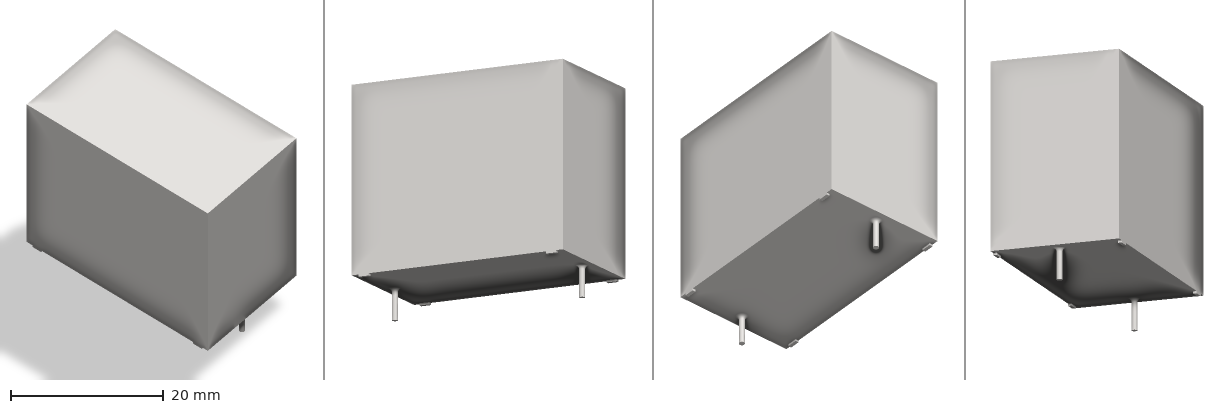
import cadquery as cq
import math


case_length = 31.0
case_width = 18.0
seated_height = 26.0
foot_height = 0.3

lead_pitch = 27.5
lead_diameter = 0.8
lead_length = 4.0
collar_radius = 0.5

foot_length = 1.5
foot_width = 0.5

case_bottom = foot_height
lead_radius = lead_diameter / 2
lead_offset = lead_pitch / 2
foot_y = (case_width - foot_width) / 2


def block(length, width, bottom, top):
    """Block centred on the Z axis, spanning two heights."""
    return (
        cq.Workplane("XY")
        .workplane(offset=bottom)
        .rect(length, width)
        .extrude(top - bottom)
    )


def lead():
    """Round lead that flares into the case through a concave collar."""
    arc_reach = collar_radius * math.cos(math.radians(45))
    arc_center_r = lead_radius + collar_radius
    arc_center_z = case_bottom - collar_radius
    return (
        cq.Workplane("XZ")
        .moveTo(0, -lead_length)
        .lineTo(lead_radius, -lead_length)
        .lineTo(lead_radius, arc_center_z)
        .threePointArc(
            (arc_center_r - arc_reach, arc_center_z + arc_reach),
            (arc_center_r, case_bottom),
        )
        .lineTo(0, case_bottom)
        .close()
        .revolve(360, (0, 0, 0), (0, 1, 0))
    )


result = block(case_length, case_width, case_bottom, seated_height)

for lead_x in (-lead_offset, lead_offset):
    result = result.union(lead().translate((lead_x, 0, 0)))
    for side_y in (-foot_y, foot_y):
        foot = block(foot_length, foot_width, 0, case_bottom)
        result = result.union(foot.translate((lead_x, side_y, 0)))